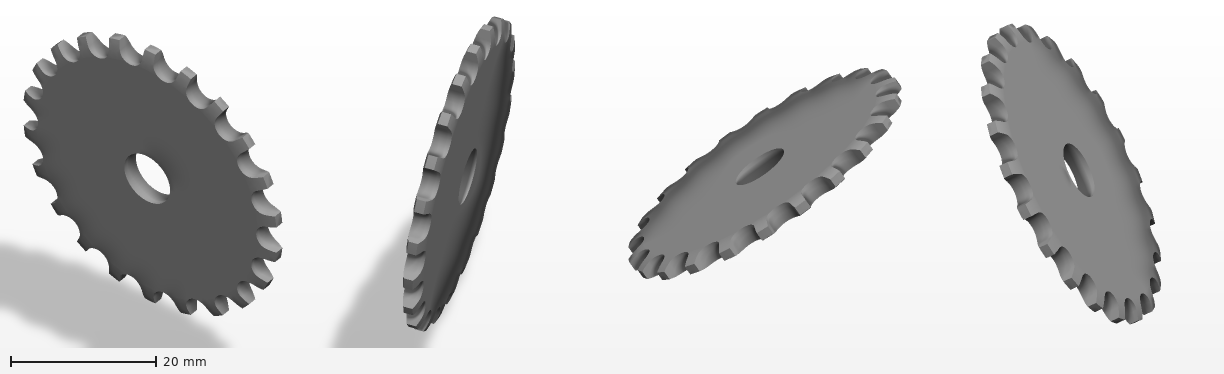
import cadquery as cq
import math

tooth_count = 22
tip_radius = 22.25
thickness = 2.6
bore_diameter = 8.0
pitch_radius = 21.1
gullet_radius = 2.0
tooth_taper = 3.0
face_radius = 19.35
tip_thickness = 1.35

half_thickness = thickness / 2
half_tip = tip_thickness / 2
tooth_angle = 360 / tooth_count
wall_angle = math.radians(tooth_angle / 2 + tooth_taper)

relief_length = tip_radius - face_radius
relief_drop = half_thickness - half_tip
relief_radius = (relief_length**2 + relief_drop**2) / (2 * relief_drop)
relief_half_turn = math.asin(relief_length / relief_radius) / 2
relief_mid_y = half_thickness - relief_radius * (1 - math.cos(relief_half_turn))
relief_mid_z = face_radius + relief_radius * math.sin(relief_half_turn)


def make_blank():
    """Disc with rounded relief on both sides of the rim, turned about the Y axis."""
    return (
        cq.Workplane("YZ")
        .moveTo(-half_thickness, 0)
        .lineTo(-half_thickness, face_radius)
        .threePointArc((-relief_mid_y, relief_mid_z), (-half_tip, tip_radius))
        .lineTo(half_tip, tip_radius)
        .threePointArc((relief_mid_y, relief_mid_z), (half_thickness, face_radius))
        .lineTo(half_thickness, 0)
        .close()
        .revolve(360, (0, 0, 0), (1, 0, 0))
    )


def make_gullet():
    """Cutter on the Z axis: a round root running tangent into straight, opening walls."""
    wall_x = gullet_radius * math.cos(wall_angle)
    wall_z = pitch_radius - gullet_radius * math.sin(wall_angle)
    wall_height = tip_radius + gullet_radius - wall_z
    outer_x = wall_x + wall_height * math.tan(wall_angle)
    outer_z = wall_z + wall_height
    return (
        cq.Workplane("XZ")
        .moveTo(-wall_x, wall_z)
        .threePointArc((0, pitch_radius - gullet_radius), (wall_x, wall_z))
        .lineTo(outer_x, outer_z)
        .lineTo(-outer_x, outer_z)
        .close()
        .extrude(half_thickness, both=True)
    )


result = make_blank()

gullet = make_gullet()
for index in range(tooth_count):
    angle = (index + 0.5) * tooth_angle
    result = result.cut(gullet.rotate((0, 0, 0), (0, 1, 0), angle))

bore = cq.Workplane("XZ").circle(bore_diameter / 2).extrude(half_thickness, both=True)
result = result.cut(bore)